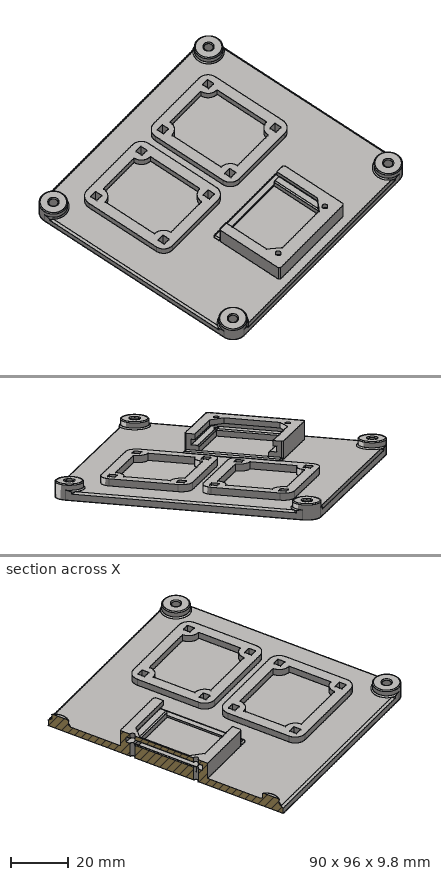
import cadquery as cq

WIDTH = 90.0
DEPTH = 96.0
TOTAL_HEIGHT = 9.8
PLATE_THICKNESS = 3.2
PLATE_BEVEL = 0.8

BOSS_DIAMETER = 10.0
BOSS_TOP = 5.9
BOSS_BEVEL = 0.4
BOSS_FOOT_FLARE = 0.5
SCREW_HOLE_DIAMETER = 3.2
BOSS_RADIUS = BOSS_DIAMETER / 2
BOSS_X = WIDTH / 2 - BOSS_RADIUS
BOSS_Y = DEPTH / 2 - BOSS_RADIUS

RELAY_X = -15.1
RELAY_CENTRES_Y = (17.9, -19.1)
RELAY_PIN_SPACING_X = 30.0
RELAY_PIN_SPACING_Y = 25.1
RELAY_WALL = 4.0
RELAY_TOP = 5.8
RELAY_PIN_HOLE = 2.8

HOLDER_FRONT_X = 14.1
HOLDER_BACK_X = 41.1
HOLDER_Y = -0.6
HOLDER_WIDTH = 35.7
HOLDER_CORNER_BEVEL = 0.6
SLOT_WIDTH = 30.9
SLOT_BOTTOM = 5.8
SLOT_TOP = 7.8
SLOT_BACK_X = HOLDER_BACK_X - (HOLDER_WIDTH - SLOT_WIDTH) / 2
WINDOW_WIDTH = 28.2
WINDOW_BACK_X = 36.2
WINDOW_CORNER_BEVEL = 3.9
WELL_WIDTH = 25.2
WELL_BACK_X = 35.4
WELL_EDGE_BEVEL = 0.5
HOLDER_HOLE_X = 36.5
HOLDER_HOLE_SPACING = 25.9
HOLDER_HOLE_DIAMETER = 1.9
HOLDER_PILOT_DIAMETER = 1.7

LIP_FRONT_X = 11.3
LIP_HEIGHT = 0.8
LIP_BEVEL = 0.6


def notched_plate(height):
    """Plate blank with the square of each rounded corner left out; the bosses fill the corners."""
    wide = cq.Workplane("XY").rect(WIDTH, 2 * BOSS_Y).extrude(height)
    deep = cq.Workplane("XY").rect(2 * BOSS_X, DEPTH).extrude(height)
    return wide.union(deep)


def base_plate():
    plate = notched_plate(PLATE_THICKNESS)
    for side in ("<X", ">X", "<Y", ">Y"):
        plate = plate.faces(side).edges(">Z").chamfer(PLATE_BEVEL)
    return plate


def revolved(profile):
    """Solid of revolution about Z from (radius, z) points."""
    return cq.Workplane("XZ").polyline(profile).close().revolve(360, (0, 0, 0), (0, 1, 0))


def boss():
    """Full-height boss with a bevelled top rim."""
    return cq.Workplane("XY").circle(BOSS_RADIUS).extrude(BOSS_TOP).faces(">Z").edges().chamfer(BOSS_BEVEL)


def boss_foot():
    """Conical flare around the boss where it meets the plate."""
    flare_radius = BOSS_RADIUS + BOSS_FOOT_FLARE
    return revolved(
        [
            (0, PLATE_THICKNESS - PLATE_BEVEL),
            (flare_radius, PLATE_THICKNESS - PLATE_BEVEL),
            (flare_radius, PLATE_THICKNESS),
            (BOSS_RADIUS, PLATE_THICKNESS + BOSS_FOOT_FLARE),
            (0, PLATE_THICKNESS + BOSS_FOOT_FLARE),
        ]
    )


def screw_hole():
    """Through hole with a bevelled top rim."""
    hole_radius = SCREW_HOLE_DIAMETER / 2
    return revolved(
        [
            (0, 0),
            (hole_radius, 0),
            (hole_radius, BOSS_TOP - BOSS_BEVEL),
            (hole_radius + BOSS_BEVEL, BOSS_TOP),
            (0, BOSS_TOP),
        ]
    )


def relay_pins(y_centre, z):
    return (
        cq.Workplane("XY", origin=(RELAY_X, y_centre, z))
        .rect(RELAY_PIN_SPACING_X, RELAY_PIN_SPACING_Y, forConstruction=True)
        .vertices()
    )


def relay_frame(y_centre):
    """Rounded frame whose window leaves a quarter-round pad at each pin."""
    height = RELAY_TOP - PLATE_THICKNESS
    centre = cq.Workplane("XY", origin=(RELAY_X, y_centre, PLATE_THICKNESS))
    outer = (
        centre.rect(RELAY_PIN_SPACING_X + 2 * RELAY_WALL, RELAY_PIN_SPACING_Y + 2 * RELAY_WALL)
        .extrude(height)
        .edges("|Z")
        .fillet(RELAY_WALL)
    )
    window = centre.rect(RELAY_PIN_SPACING_X, RELAY_PIN_SPACING_Y).extrude(height)
    pads = relay_pins(y_centre, PLATE_THICKNESS).circle(RELAY_WALL).extrude(height)
    return outer.cut(window.cut(pads))


def relay_pin_holes(y_centre):
    return relay_pins(y_centre, 0).rect(RELAY_PIN_HOLE, RELAY_PIN_HOLE).extrude(RELAY_TOP)


def holder_block(x_min, x_max, width, z_min, z_max):
    """Box between two X and two Z positions, on the centre line of the holder."""
    return (
        cq.Workplane("XY", origin=((x_min + x_max) / 2, HOLDER_Y, z_min))
        .rect(x_max - x_min, width)
        .extrude(z_max - z_min)
    )


def detector_holder():
    """Block with a top window, a board slot below it and a bevel-edged well down to the plate."""
    body = holder_block(HOLDER_FRONT_X, HOLDER_BACK_X, HOLDER_WIDTH, PLATE_THICKNESS, TOTAL_HEIGHT)
    body = body.edges("|Z").chamfer(HOLDER_CORNER_BEVEL)
    window = holder_block(HOLDER_FRONT_X, WINDOW_BACK_X, WINDOW_WIDTH, SLOT_TOP, TOTAL_HEIGHT)
    window = window.edges("|Z and >X").chamfer(WINDOW_CORNER_BEVEL)
    slot = holder_block(HOLDER_FRONT_X, SLOT_BACK_X, SLOT_WIDTH, SLOT_BOTTOM, SLOT_TOP)
    well = holder_block(HOLDER_FRONT_X, WELL_BACK_X, WELL_WIDTH, PLATE_THICKNESS, SLOT_BOTTOM)
    well_rim = (
        cq.Workplane("XY", origin=((HOLDER_FRONT_X + WELL_BACK_X) / 2, HOLDER_Y, SLOT_BOTTOM - WELL_EDGE_BEVEL))
        .rect(WELL_BACK_X - HOLDER_FRONT_X, WELL_WIDTH)
        .extrude(WELL_EDGE_BEVEL, taper=-45)
    )
    return body.cut(window).cut(slot).cut(well).cut(well_rim)


def entry_lip():
    """Low strip in front of the holder, bevelled along its front and ends."""
    lip_top = PLATE_THICKNESS + LIP_HEIGHT
    return (
        holder_block(LIP_FRONT_X, HOLDER_FRONT_X, HOLDER_WIDTH, PLATE_THICKNESS, lip_top)
        .edges("(>Z and <X) or (>Z and <Y) or (>Z and >Y) or (|Z and <X)")
        .chamfer(LIP_BEVEL)
    )


def holder_holes(diameter, z_min, z_max):
    return (
        cq.Workplane("XY", origin=(HOLDER_HOLE_X, HOLDER_Y, z_min))
        .rarray(1, HOLDER_HOLE_SPACING, 1, 2)
        .circle(diameter / 2)
        .extrude(z_max - z_min)
    )


result = base_plate()
for boss_x in (-BOSS_X, BOSS_X):
    for boss_y in (-BOSS_Y, BOSS_Y):
        corner = (boss_x, boss_y, 0)
        foot = boss_foot().translate(corner).intersect(notched_plate(BOSS_TOP))
        result = result.union(foot).union(boss().translate(corner)).cut(screw_hole().translate(corner))
for relay_y in RELAY_CENTRES_Y:
    result = result.union(relay_frame(relay_y)).cut(relay_pin_holes(relay_y))
result = result.union(detector_holder()).union(entry_lip())
result = result.cut(holder_holes(HOLDER_HOLE_DIAMETER, SLOT_TOP, TOTAL_HEIGHT))
result = result.cut(holder_holes(HOLDER_PILOT_DIAMETER, 0, SLOT_BOTTOM))